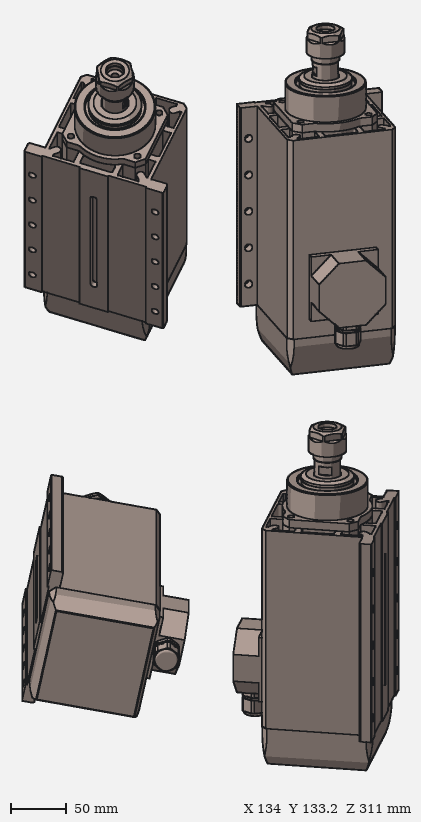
import cadquery as cq
import math


housing_bottom = 36.0
housing_top = 227.0
flange_top = 234.8
nose_top = 260.0
slinger_top = 265.5
collar_bottom = 280.5
nut_bottom = 288.3
nut_hex_bottom = 303.2
nut_top = 311.0

housing_half_width = 51.0
housing_back = 51.0
housing_corner_chamfer = 4.5
foot_span = 134.0
foot_half_width = foot_span / 2
foot_top = -41.7
foot_chamfer_x = 1.0
foot_chamfer_y = 1.5
pad_bottom = -53.0
pad_height = 1.2
pad_chamfer_x = 1.0
pad_chamfer_y = 0.47
side_pad_inner = 50.0
center_pad_half_width = 13.7

cell_limit = 48.2
front_cell_limit = 47.3
front_corner_cell_limit = 47.3
side_cell_half_length = 15.0
end_cell_half_length = 15.5
corner_cell_inner = 21.0
cell_fillet = 1.5
boss_center = 40.5
boss_radius = 3.7
boss_root = 41.0

slot_width = 6.2
slot_bottom = 65.5
slot_top = 192.2

foot_hole_diameter = 6.8
foot_hole_x = 59.0
foot_hole_first_z = 57.0
foot_hole_count = 5
foot_hole_row_length = 140.0
foot_hole_pitch = foot_hole_row_length / (foot_hole_count - 1)

flange_half_width = 40.0
flange_half_depth = 34.5
flange_corner_chamfer = 7.0
flange_lobe_radius = 40.5
flange_lobe_fillet = 4.0
flange_hole_x = 32.0
flange_hole_y = 27.0
flange_hole_diameter = 6.0

nose_radius = 36.5
nose_chamfer = 1.0
nose_recess_radius = 26.7
nose_recess_depth = 2.5

slinger_radius = 24.0
slinger_top_radius = 19.3
slinger_chamfer_height = 2.0
slinger_waist_radius = 23.5
slinger_waist_top = 261.2
slinger_bore_radius = 12.5

neck_diameter = 23.3
neck_radius = neck_diameter / 2
collar_radius = 12.8
collar_chamfer = 1.0
flat_distance = 10.0
flat_bottom = 268.5
flat_top = 276.2

nut_radius = 17.0
nut_apothem = 15.2
nut_shoulder_angle = 45.0
nut_top_radius = 12.8
nut_cone_angle = 30.0
collet_diameter = 16.5
collet_radius = collet_diameter / 2
collet_top = 307.3
collet_bore_radius = 7.8
collet_bore_bottom = 302.5
collet_hole_radius = 3.5
collet_hole_depth = 9.3
drill_point_angle = 118.0

cover_front = -50.5
cover_corner_chamfer = 5.3
cover_curve_top = 28.5
cover_inset = 5.3
cover_front_inset = 6.2
cover_front_curve_top = 35.8
cover_edge_chamfer = 0.5

box_half_width = 31.5
box_bottom = 53.8
box_top = 115.7
box_back = 80.2
box_base_back = 57.0
box_chamfer_x = 18.7
box_chamfer_z = 18.0

gland_y = 66.0
gland_apothem = 11.0
gland_corner_radius = 11.8
gland_neck_radius = 10.0
gland_body_bottom = 48.8
gland_nut_top = 46.3
gland_nut_hex_bottom = 34.0
gland_end = 30.5
gland_end_radius = 10.5
gland_end_fillet = 2.0


def box_between(x0, x1, y0, y1, z0, z1):
    """A box given by its limits along each axis."""
    return cq.Workplane("XY").box(x1 - x0, y1 - y0, z1 - z0, centered=False).translate((x0, y0, z0))


def cylinder(radius, z0, z1):
    """A cylinder on the spindle axis."""
    return cq.Workplane("XY", origin=(0, 0, z0)).circle(radius).extrude(z1 - z0)


def hexagon(apothem, z0, z1, taper=0):
    """A hexagonal prism on the spindle axis with corners on the X axis, sized at z0."""
    sides = 6
    corner_diameter = 2 * apothem / math.cos(math.pi / sides)
    base = cq.Workplane("XY", origin=(0, 0, z0)).polygon(sides, corner_diameter)
    return base.extrude(z1 - z0, taper=taper)


def turned(points):
    """A solid turned about the Z axis from (radius, height) points."""
    return cq.Workplane("XZ").polyline(points).close().revolve(360, (0, 0, 0), (0, 1, 0))


def flange_prism(z0, z1):
    """The chamfered rectangle with round front and back lobes."""
    width = 2 * flange_half_width
    plate = cq.Workplane("XY", origin=(0, 0, z0)).rect(width, 2 * flange_half_depth).extrude(z1 - z0)
    plate = plate.edges("|Z").chamfer(flange_corner_chamfer)
    lobes = cylinder(flange_lobe_radius, z0, z1)
    lobes = lobes.intersect(
        box_between(
            -flange_half_width, flange_half_width, -flange_lobe_radius, flange_lobe_radius, z0, z1
        )
    )
    prism = plate.union(lobes)
    lobe_root_x = math.sqrt(flange_lobe_radius**2 - flange_half_depth**2)
    for x in (-lobe_root_x, lobe_root_x):
        for y in (-flange_half_depth, flange_half_depth):
            root = cq.selectors.NearestToPointSelector((x, y, (z0 + z1) / 2))
            prism = prism.edges("|Z").edges(root).fillet(flange_lobe_fillet)
    return prism


def housing_profile():
    """Solid extrusion with two mounting feet and three pads along the front."""
    height = housing_top - housing_bottom
    recess_y = pad_bottom + pad_height
    body = box_between(
        -housing_half_width, housing_half_width, recess_y, housing_back, housing_bottom, housing_top
    )
    body = body.edges("|Z and >Y").chamfer(housing_corner_chamfer)
    feet = (
        cq.Workplane("XY", origin=(0, 0, housing_bottom))
        .moveTo(-foot_half_width + foot_chamfer_x, foot_top)
        .lineTo(foot_half_width - foot_chamfer_x, foot_top)
        .lineTo(foot_half_width, foot_top - foot_chamfer_y)
        .lineTo(foot_half_width, pad_bottom + pad_chamfer_y)
        .lineTo(foot_half_width - pad_chamfer_x, pad_bottom)
        .lineTo(-foot_half_width + pad_chamfer_x, pad_bottom)
        .lineTo(-foot_half_width, pad_bottom + pad_chamfer_y)
        .lineTo(-foot_half_width, foot_top - foot_chamfer_y)
        .close()
        .extrude(height)
    )
    for x0, x1 in ((-side_pad_inner, -center_pad_half_width), (center_pad_half_width, side_pad_inner)):
        feet = feet.cut(box_between(x0, x1, pad_bottom, recess_y, housing_bottom, housing_top))
    return body.union(feet)


def end_cell(y0, y1):
    """A rounded cell between the core and the back or the front wall."""
    z_limits = (housing_bottom, housing_top)
    cell = box_between(-end_cell_half_length, end_cell_half_length, y0, y1, *z_limits)
    return cell.cut(flange_prism(*z_limits)).edges("|Z").fillet(cell_fillet)


def side_cells():
    """The two cells between the core and the side walls."""
    z_limits = (housing_bottom, housing_top)
    half_length = side_cell_half_length
    cells = box_between(-cell_limit, cell_limit, -half_length, half_length, *z_limits)
    return cells.edges("|Z and <Y").fillet(cell_fillet).cut(flange_prism(*z_limits))


def screw_boss(height):
    """A rounded finger pointing from the cell corner at +X, +Y toward the core."""
    plane = cq.Workplane("XY", origin=(0, 0, housing_bottom))
    root_size = cell_limit - boss_root
    root_middle = (cell_limit + boss_root) / 2
    root = plane.center(root_middle, root_middle).rect(root_size, root_size).extrude(height)
    tip = plane.center(boss_center, boss_center).circle(boss_radius).extrude(height)
    neck_length = cell_limit - boss_center
    neck = plane.rect(neck_length, 2 * boss_radius).extrude(height)
    neck = neck.translate((neck_length / 2, 0, 0)).rotate((0, 0, 0), (0, 0, 1), 45)
    return root.union(tip).union(neck.translate((boss_center, boss_center, 0)))


def corner_cell(outer_x):
    """The cell in the +X, +Y corner with a screw boss in its outer corner."""
    z_limits = (housing_bottom, housing_top)
    cell = box_between(corner_cell_inner, outer_x, corner_cell_inner, cell_limit, *z_limits)
    return cell.cut(screw_boss(housing_top - housing_bottom)).cut(flange_prism(*z_limits))


def housing_cells():
    """The hollow cells between the outer walls, the webs and the core."""
    cells = end_cell(0, cell_limit).union(end_cell(-front_cell_limit, 0)).union(side_cells())
    back_corner = corner_cell(cell_limit)
    front_corner = corner_cell(front_corner_cell_limit).mirror("XZ")
    for corner in (back_corner, front_corner):
        cells = cells.union(corner).union(corner.mirror("YZ"))
    return cells


def front_slot():
    """A round-ended slot through the front wall into the middle cell."""
    length = slot_top - slot_bottom
    middle = (slot_top + slot_bottom) / 2
    return (
        cq.Workplane("XZ", origin=(0, -front_cell_limit, middle))
        .slot2D(length, slot_width, 90)
        .extrude(-front_cell_limit - pad_bottom)
    )


def foot_holes():
    """A row of through holes along each foot."""
    points = [
        (side * foot_hole_x, foot_hole_first_z + index * foot_hole_pitch)
        for side in (-1, 1)
        for index in range(foot_hole_count)
    ]
    return (
        cq.Workplane("XZ", origin=(0, foot_top, 0))
        .pushPoints(points)
        .circle(foot_hole_diameter / 2)
        .extrude(foot_top - pad_bottom)
    )


def make_housing():
    return housing_profile().cut(housing_cells()).cut(front_slot()).cut(foot_holes())


def make_nose():
    """Mounting flange and round nose, recessed for the slinger and bored for the shaft."""
    nose = flange_prism(housing_top, flange_top)
    nose = nose.union(cylinder(nose_radius, flange_top, nose_top).faces(">Z").chamfer(nose_chamfer))
    recess = cylinder(nose_recess_radius, nose_top - nose_recess_depth, nose_top)
    mouth_radius = nose_recess_radius + nose_chamfer
    mouth = turned(
        [(0, nose_top - nose_chamfer), (nose_recess_radius, nose_top - nose_chamfer),
         (mouth_radius, nose_top), (0, nose_top)]
    )
    bore = cylinder(neck_radius, housing_top, nose_top)
    screw_holes = (
        cq.Workplane("XY", origin=(0, 0, housing_top))
        .rect(2 * flange_hole_x, 2 * flange_hole_y, forConstruction=True)
        .vertices()
        .circle(flange_hole_diameter / 2)
        .extrude(flange_top - housing_top)
    )
    return nose.cut(recess).cut(mouth).cut(bore).cut(screw_holes)


def make_slinger():
    """Ring with a narrower waist around the shaft, seated in the recess of the nose."""
    bottom = nose_top - nose_recess_depth
    return turned(
        [
            (slinger_bore_radius, bottom),
            (slinger_waist_radius, bottom),
            (slinger_waist_radius, slinger_waist_top),
            (slinger_radius, slinger_waist_top),
            (slinger_radius, slinger_top - slinger_chamfer_height),
            (slinger_top_radius, slinger_top),
            (slinger_bore_radius, slinger_top),
        ]
    )


def make_shaft():
    """Shaft with a collar under the nut and two wrench flats on the neck."""
    shaft = cylinder(neck_radius, housing_top, collar_bottom)
    collar = cylinder(collar_radius, collar_bottom, nut_bottom).faces("<Z").chamfer(collar_chamfer)
    shaft = shaft.union(collar)
    for x0, x1 in ((-neck_radius, -flat_distance), (flat_distance, neck_radius)):
        shaft = shaft.cut(box_between(x0, x1, -neck_radius, neck_radius, flat_bottom, flat_top))
    return shaft


def make_nut():
    """Round nut with sloped shoulders below a hexagonal head, bored through for the collet."""
    shoulder = hexagon(nut_apothem, nut_hex_bottom, nut_bottom, taper=-nut_shoulder_angle)
    skirt = cylinder(nut_radius, nut_bottom, nut_hex_bottom).intersect(shoulder)
    cone_drop = (nut_radius - nut_top_radius) * math.tan(math.radians(nut_cone_angle))
    crown = turned(
        [(0, nut_hex_bottom), (nut_radius, nut_hex_bottom), (nut_radius, nut_top - cone_drop),
         (nut_top_radius, nut_top), (0, nut_top)]
    )
    head = hexagon(nut_apothem, nut_hex_bottom, nut_top).intersect(crown)
    return skirt.union(head).cut(cylinder(collet_radius, nut_bottom, nut_top))


def make_collet():
    """Round collet inside the nut, with a wide bore and a drilled blind hole below it."""
    hole_bottom = collet_bore_bottom - collet_hole_depth
    cone_height = collet_hole_radius / math.tan(math.radians(drill_point_angle / 2))
    return turned(
        [
            (0, nut_bottom),
            (collet_radius, nut_bottom),
            (collet_radius, collet_top),
            (collet_bore_radius, collet_top),
            (collet_bore_radius, collet_bore_bottom),
            (collet_hole_radius, collet_bore_bottom),
            (collet_hole_radius, hole_bottom),
            (0, hole_bottom - cone_height),
        ]
    )


def cover_arc_middle(face, inset, curve_top):
    """Middle point of an arc that leaves a flat face at curve_top and bends inward down to Z = 0."""
    radius = (curve_top**2 + inset**2) / (2 * inset)
    middle_z = curve_top / 2
    middle_inset = radius - math.sqrt(radius**2 - (curve_top - middle_z) ** 2)
    return face - math.copysign(middle_inset, face), middle_z


def cover_prism(plane, first_face, first_inset, first_curve_top, last_face):
    """Prism with a curved first side, and a last side with the standard curve."""
    return (
        cq.Workplane(plane)
        .moveTo(first_face + first_inset, 0)
        .threePointArc(
            cover_arc_middle(first_face, first_inset, first_curve_top), (first_face, first_curve_top)
        )
        .lineTo(first_face, housing_bottom)
        .lineTo(last_face, housing_bottom)
        .lineTo(last_face, cover_curve_top)
        .threePointArc(
            cover_arc_middle(last_face, cover_inset, cover_curve_top), (last_face - cover_inset, 0)
        )
        .close()
        .extrude(housing_half_width, both=True)
    )


def make_cover():
    """Square cover with chamfered corners and four inward-curving sides."""
    block = box_between(
        -housing_half_width, housing_half_width, cover_front, housing_back, 0, housing_bottom
    )
    block = block.edges("|Z").chamfer(cover_corner_chamfer)
    across = cover_prism("XZ", -housing_half_width, cover_inset, cover_curve_top, housing_half_width)
    along = cover_prism("YZ", cover_front, cover_front_inset, cover_front_curve_top, housing_back)
    return block.intersect(across).intersect(along).faces("<Z").chamfer(cover_edge_chamfer)


def make_terminal_box():
    """Box on the back of the housing; its lid has four sloped corners above a square base."""
    base = box_between(-box_half_width, box_half_width, housing_back, box_base_back, box_bottom, box_top)
    inner_x = box_half_width - box_chamfer_x
    low_z = box_bottom + box_chamfer_z
    high_z = box_top - box_chamfer_z
    lid = (
        cq.Workplane("XZ", origin=(0, box_back, 0))
        .polyline(
            [
                (-inner_x, box_bottom), (inner_x, box_bottom),
                (box_half_width, low_z), (box_half_width, high_z),
                (inner_x, box_top), (-inner_x, box_top),
                (-box_half_width, high_z), (-box_half_width, low_z),
            ]
        )
        .close()
        .extrude(box_back - box_base_back)
    )
    return base.union(lid)


def gland_hexagon(z0, z1):
    """Hexagonal prism with its corners rounded off."""
    return hexagon(gland_apothem, z0, z1).intersect(cylinder(gland_corner_radius, z0, z1))


def make_gland_body():
    """Hexagon against the terminal box with a round neck below it."""
    body = gland_hexagon(gland_body_bottom, box_bottom)
    body = body.union(cylinder(gland_neck_radius, gland_nut_top, gland_body_bottom))
    return body.translate((0, gland_y, 0))


def make_gland_nut():
    """Hexagonal cap nut with a rounded end."""
    nut = gland_hexagon(gland_nut_hex_bottom, gland_nut_top)
    end = cylinder(gland_end_radius, gland_end, gland_nut_hex_bottom)
    end = end.faces("<Z").edges().fillet(gland_end_fillet)
    return nut.union(end).translate((0, gland_y, 0))


housing = make_housing()
nose = make_nose()
slinger = make_slinger()
shaft = make_shaft()
nut = make_nut()
collet = make_collet()
cover = make_cover()
terminal_box = make_terminal_box()
gland_body = make_gland_body()
gland_nut = make_gland_nut()

result = cq.Compound.makeCompound(
    [
        housing.val(),
        nose.val(),
        slinger.val(),
        shaft.val(),
        nut.val(),
        collet.val(),
        cover.val(),
        terminal_box.val(),
        gland_body.val(),
        gland_nut.val(),
    ]
)